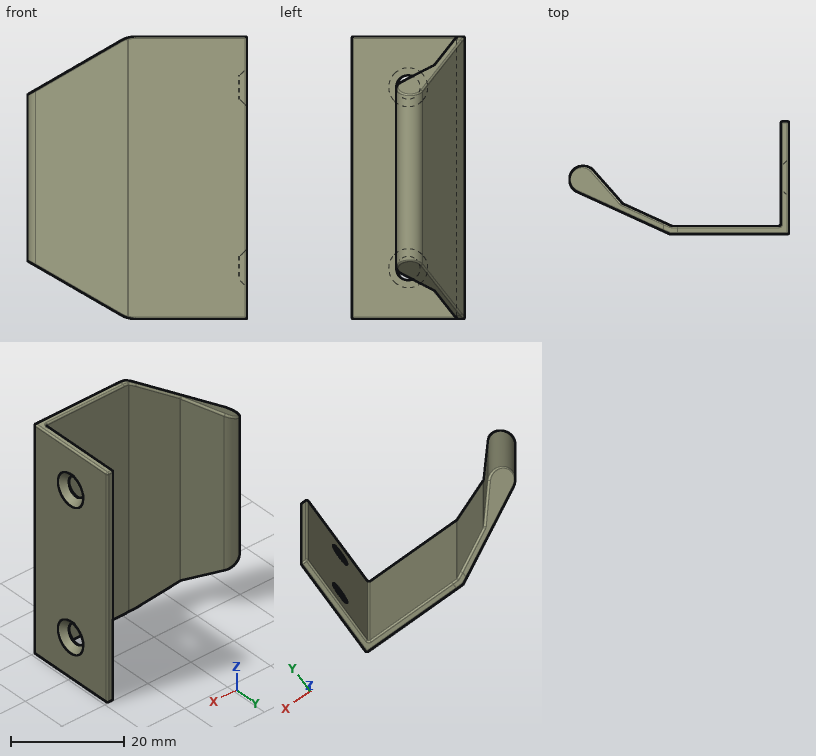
import cadquery as cq
import math

width = 38.9
depth = 20.0
height = 50.0
thickness = 1.5
front_length = 21.1
lip_angle = math.radians(24.5)
bulb_radius = 2.45
knee_distance = 8.15
taper_angle = math.radians(30)
taper_blend_radius = 5.0
edge_radius = 0.35
hole_diameter = 4.2
hole_land = 0.15
hole_offset = 16.0

bend_x = width - front_length
lip_run = bend_x - bulb_radius * (1 - math.sin(lip_angle))
lip_length = lip_run / math.cos(lip_angle)


def lip_point(along, above):
    """Point at a distance along the lip's outer face from the bend, and above that face."""
    x = bend_x - along * math.cos(lip_angle) + above * math.sin(lip_angle)
    y = along * math.sin(lip_angle) + above * math.cos(lip_angle)
    return x, y


def make_profile():
    """Bent sheet with a teardrop grip, extruded over the full height."""
    center = lip_point(lip_length, bulb_radius)
    tangent_low = lip_point(lip_length, 0)
    knee = lip_point(lip_length - knee_distance, thickness)
    inner_bend = (bend_x + thickness * math.tan(lip_angle / 2), thickness)

    reach_x = knee[0] - center[0]
    reach_y = knee[1] - center[1]
    tangent_angle = math.atan2(reach_y, reach_x) + math.acos(bulb_radius / math.hypot(reach_x, reach_y))
    tangent_high = (
        center[0] + bulb_radius * math.cos(tangent_angle),
        center[1] + bulb_radius * math.sin(tangent_angle),
    )
    bulb_tip = (center[0] - bulb_radius, center[1])

    return (
        cq.Workplane("XY")
        .workplane(offset=-height / 2)
        .moveTo(width, 0)
        .lineTo(width, depth)
        .lineTo(width - thickness, depth)
        .lineTo(width - thickness, thickness)
        .lineTo(*inner_bend)
        .lineTo(*knee)
        .lineTo(*tangent_high)
        .threePointArc(bulb_tip, tangent_low)
        .lineTo(bend_x, 0)
        .close()
        .extrude(height)
    )


def make_front_outline():
    """Block with the tapered silhouette that trims the lip at top and bottom."""
    tip_half_height = height / 2 - bend_x * math.tan(taper_angle)
    outline = (
        cq.Workplane("XZ")
        .polyline([
            (0, -tip_half_height),
            (bend_x, -height / 2),
            (width, -height / 2),
            (width, height / 2),
            (bend_x, height / 2),
            (0, tip_half_height),
        ])
        .close()
        .extrude(-depth)
    )
    shoulder_edges = cq.selectors.BoxSelector(
        (bend_x - 0.5, -0.5, -height), (bend_x + 0.5, depth + 0.5, height)
    )
    return outline.edges("|Y").edges(shoulder_edges).fillet(taper_blend_radius)


def make_screw_hole(center_z):
    """Cutter for a hole through the mounting plate, countersunk from its outer face."""
    radius = hole_diameter / 2
    inner_face_x = width - thickness
    land_end_x = inner_face_x + hole_land
    countersink_radius = radius + thickness - hole_land
    section = (
        cq.Workplane("XY")
        .polyline([
            (inner_face_x, 0),
            (inner_face_x, radius),
            (land_end_x, radius),
            (width, countersink_radius),
            (width, 0),
        ])
        .close()
    )
    cutter = section.revolve(360, (0, 0), (1, 0))
    return cutter.translate((0, depth / 2, center_z))


bracket = make_profile().intersect(make_front_outline())
bracket = bracket.edges().fillet(edge_radius)
for hole_z in (-hole_offset, hole_offset):
    bracket = bracket.cut(make_screw_hole(hole_z))
result = bracket